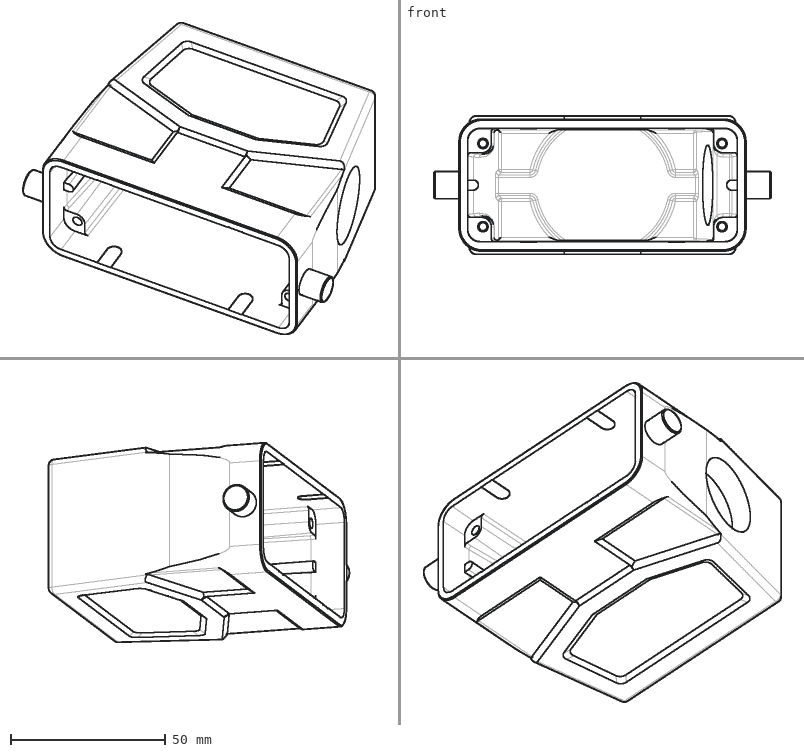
import cadquery as cq
import math

length = 76.0
block_height = 45.0
skirt_height = 42.9
skirt_half_width = 46.6
skirt_straight_end = 10.7
side_crease_y = 31.8
side_crease_half_width = 44.8
back_half_width = 36.05
skirt_corner_radius = 7.5
block_edge_radius = 2.0
mouth_chamfer = 0.4

step_depth = (block_height - skirt_height) / 2
bevel_run = 1.8
block_top = block_height / 2
skirt_top = skirt_height / 2
recess_floor = skirt_top - step_depth

chevron_half_width = 12.4
chevron_y = 31.0
chevron_rise = 0.339

panel_back_y = 68.1
panel_back_half_width = 29.8
panel_side_half_width = 34.0
panel_front_y = 37.0
panel_corner_radius = 2.5

recess_front_y = 12.9
recess_edge_radius = 2.0

pin_diameter = 8.9
pin_span = 109.5
pin_y = 6.0
pin_chamfer = 0.4

mouth_half_width = 43.8
mouth_height = 36.8
mouth_corner_radius = 4.0
cavity_depth = 73.0
cavity_height_draft = 0.5
cavity_crease_half_width = 41.9
floor_left = 33.7
floor_right = 30.3
ledge_y = 29.0
ledge_inner_x = 36.0
ledge_outer_x = 41.9
ledge_lip_radius = 1.2
ledge_base_radius = 0.8
entry_wall_fillet = 0.6
floor_fillet = 1.0

entry_diameter = 26.0
entry_y = 43.3

plateau_height = 5.0
disc_radius = 23.4
rib_half_width = 4.4
plateau_draft = 1.2
plateau_fillet = 0.8
rib_end_fillet = 1.0

boss_start_y = 9.7
boss_inner_x = 36.1
boss_inner_z = 10.5
boss_corner_radius = 3.0
boss_draft = 1.0
boss_hole_x = 38.8
boss_hole_z = 13.5
boss_hole_diameter = 3.3
boss_hole_end_diameter = 2.6
boss_hole_depth = 12.0
boss_root_fillet = 1.0
key_half_width = 1.65
key_tip_x = 40.3

tolerance = 0.01
overlap = 3.0
root_angle_limit = 15.0

groove_x = 24.0
groove_width = 5.0
groove_length = 9.5
groove_depth = 0.1


def polygon_wire(points, z, offset=0.0):
    """Closed wire at height z, grown (or shrunk) by offset with sharp corners."""
    outline = cq.Workplane("XY", origin=(0, 0, z)).polyline(points).close()
    if offset:
        outline = outline.offset2D(offset, "intersection")
    return outline.wires().val()


def rounded_corners(wire, radius, min_x):
    """Round the wire's corners that lie farther than min_x from the centre plane."""
    corners = [vertex for vertex in wire.Vertices() if abs(vertex.X) > min_x]
    return wire.fillet2D(radius, corners)


def both_faces(shape):
    """The shape together with its mirror image in the XY plane."""
    return shape.union(shape.mirror("XY"))


def both_sides(shape):
    """The shape together with its mirror image in the YZ plane."""
    return shape.union(shape.mirror("YZ"))


def mirrored_outline(right_side):
    """Closed outline from its +X points, listed from front to back."""
    left_side = [(-x, y) for x, y in reversed(right_side)]
    return right_side + left_side


def plate(points, height):
    """Plate of the given plan outline, centred on the XY plane."""
    return cq.Workplane("XY").polyline(points).close().extrude(height / 2, both=True)


def bevelled_pocket(points, top_z):
    """Pocket tool: full size at top_z, narrowing by the bevel to its floor."""
    floor_wire = polygon_wire(points, top_z - step_depth, -bevel_run)
    top_wire = polygon_wire(points, top_z)
    return cq.Workplane(cq.Solid.makeLoft([floor_wire, top_wire], True))


def chevron_y_at(x):
    """Y of the block's upper front border at distance x from the centre plane."""
    return chevron_y + max(0.0, x - chevron_half_width) * chevron_rise


def side_slope():
    """Half width lost per mm of Y behind the side crease."""
    return (side_crease_half_width - back_half_width) / (length - side_crease_y)


def envelope():
    """Plan outline of the housing at full height; both sides lean inwards."""
    right_side = [
        (skirt_half_width, 0),
        (skirt_half_width, skirt_straight_end),
        (side_crease_half_width, side_crease_y),
        (back_half_width, length),
    ]
    return plate(mirrored_outline(right_side), block_height)


def skirt(end_y):
    """Rounded front body with two bevelled recesses on each face."""
    body = (
        cq.Workplane("XZ")
        .rect(2 * skirt_half_width, skirt_height)
        .extrude(-end_y)
        .edges("|Y")
        .fillet(skirt_corner_radius)
        .intersect(envelope())
    )
    outside_x = skirt_half_width + 2 * bevel_run
    rear_y = end_y + 2 * bevel_run
    recess_outline = [
        (chevron_half_width, recess_front_y),
        (outside_x, recess_front_y),
        (outside_x, rear_y),
        (chevron_half_width, rear_y),
    ]
    recess = both_faces(bevelled_pocket(recess_outline, skirt_top))
    body = body.cut(both_sides(recess))

    def is_floor_side_edge(edge):
        centre = edge.Center()
        at_floor = math.isclose(abs(centre.z), recess_floor, abs_tol=tolerance)
        return at_floor and abs(centre.x) > skirt_half_width - skirt_corner_radius

    return body.edges("|Y").filter(is_floor_side_edge).fillet(recess_edge_radius)


def raised_block(start_y):
    """Taller rear body whose faces end in a bevelled chevron."""
    front_half_width = side_crease_half_width + side_slope() * side_crease_y
    trapezoid = mirrored_outline([(front_half_width, 0), (back_half_width, length)])
    block = (
        plate(trapezoid, block_height)
        .edges("(>Y) or (not(<Y or |Z))")
        .fillet(block_edge_radius)
    )

    outer_x = skirt_half_width

    def chevron_plan(forward_shift):
        return mirrored_outline(
            [
                (chevron_half_width, chevron_y - forward_shift),
                (outer_x, chevron_y_at(outer_x) - forward_shift),
                (outer_x, length),
            ]
        )

    bottom_wire = polygon_wire(chevron_plan(bevel_run), recess_floor)
    top_wire = polygon_wire(chevron_plan(0.0), block_top)
    cap = cq.Workplane(cq.Solid.makeLoft([bottom_wire, top_wire], True))
    core = cq.Workplane("XY", origin=(0, start_y, 0)).box(
        2 * outer_x, length - start_y, 2 * recess_floor, centered=(True, False, True)
    )
    block = block.intersect(core.union(both_faces(cap)))

    middle_bevel = (
        cq.Workplane("YZ")
        .polyline(
            [(chevron_y - bevel_run, skirt_top), (chevron_y, block_top), (chevron_y, skirt_top)]
        )
        .close()
        .extrude(chevron_half_width, both=True)
    )
    return block.union(both_faces(middle_bevel))


def label_panel():
    """Bevelled pockets that follow the chevron on both block faces."""
    panel_side_y = panel_front_y + (panel_side_half_width - chevron_half_width) * chevron_rise
    outline = mirrored_outline(
        [
            (chevron_half_width, panel_front_y),
            (panel_side_half_width, panel_side_y),
            (panel_back_half_width, panel_back_y),
        ]
    )
    borders = [
        polygon_wire(outline, block_top - step_depth, -bevel_run),
        polygon_wire(outline, block_top),
    ]
    rounded = [rounded_corners(wire, panel_corner_radius, 2 * chevron_half_width) for wire in borders]
    return both_faces(cq.Workplane(cq.Solid.makeLoft(rounded, True)))


def pins():
    """One bar through both side walls, forming the two locking pins."""
    return (
        cq.Workplane("YZ")
        .center(pin_y, 0)
        .circle(pin_diameter / 2)
        .extrude(pin_span / 2, both=True)
        .faces("|X")
        .chamfer(pin_chamfer)
    )


def cavity():
    """Hollow of the housing; its +X wall is thicker behind a ledge."""
    outline = [
        (-mouth_half_width, 0),
        (mouth_half_width, 0),
        (mouth_half_width, skirt_straight_end),
        (ledge_outer_x, ledge_y),
        (ledge_inner_x, ledge_y),
        (floor_right, cavity_depth),
        (-floor_left, cavity_depth),
        (-cavity_crease_half_width, side_crease_y),
        (-mouth_half_width, skirt_straight_end),
    ]
    draft_angle = math.degrees(math.atan2(cavity_height_draft, cavity_depth))
    tunnel = (
        cq.Workplane("XZ")
        .sketch()
        .rect(2 * mouth_half_width, mouth_height)
        .vertices()
        .fillet(mouth_corner_radius)
        .finalize()
        .extrude(-cavity_depth, taper=draft_angle)
    )
    hollow = (
        plate(outline, block_height)
        .edges(cq.selectors.NearestToPointSelector((ledge_inner_x, ledge_y, 0)))
        .fillet(ledge_lip_radius)
        .edges(cq.selectors.NearestToPointSelector((ledge_outer_x, ledge_y, 0)))
        .fillet(ledge_base_radius)
    )
    return hollow.intersect(tunnel)


def floor_plateau():
    """Disc and cross rib standing on the cavity floor, narrowing towards the mouth."""
    draft_angle = math.degrees(math.atan2(plateau_draft, plateau_height))
    inside_disc = cq.selectors.BoxSelector(
        (-disc_radius, -disc_radius, -tolerance), (disc_radius, disc_radius, tolerance)
    )
    base = (
        cq.Sketch()
        .circle(disc_radius)
        .rect(2 * skirt_half_width, 2 * rib_half_width)
        .clean()
        .vertices(inside_disc)
        .fillet(plateau_fillet)
    )
    plateau = (
        cq.Workplane("XZ", origin=(0, cavity_depth, 0))
        .placeSketch(base)
        .extrude(plateau_height, taper=draft_angle)
    )
    return plateau.faces("<Y").edges().fillet(plateau_fillet)


def screw_bosses():
    """Four corner posts running from near the mouth to the back of the cavity."""
    boss_length = cavity_depth - boss_start_y
    draft_angle = math.degrees(math.atan2(boss_draft, boss_length))
    boss = (
        cq.Workplane("XZ", origin=(0, boss_start_y, 0))
        .moveTo(boss_inner_x, skirt_top)
        .lineTo(boss_inner_x, boss_inner_z + boss_corner_radius)
        .radiusArc((boss_inner_x + boss_corner_radius, boss_inner_z), -boss_corner_radius)
        .lineTo(skirt_half_width, boss_inner_z)
        .lineTo(skirt_half_width, skirt_top)
        .close()
        .extrude(-boss_length, taper=-draft_angle)
    )
    hole = (
        cq.Workplane("XZ", origin=(boss_hole_x, boss_start_y, boss_hole_z))
        .circle(boss_hole_diameter / 2)
        .workplane(offset=-boss_hole_depth)
        .circle(boss_hole_end_diameter / 2)
        .loft()
    )
    return both_sides(both_faces(boss.cut(hole)))


def is_boss_root(edge):
    """Whether a cavity edge runs along a boss where the boss meets a wall."""
    if edge.geomType() != "LINE" or abs(edge.tangentAt(0).y) < math.cos(math.radians(root_angle_limit)):
        return False
    centre = edge.Center()
    x, z = abs(centre.x), abs(centre.z)
    along_flat_wall = abs(x - boss_inner_x) < boss_draft and z > boss_inner_z + boss_corner_radius
    past_corner_x = boss_inner_x + boss_corner_radius + boss_draft
    along_end_wall = abs(z - boss_inner_z) < boss_draft and x > past_corner_x
    return along_flat_wall or along_end_wall


def is_rib_end(edge):
    """Whether a cavity edge is where the top of the cross rib meets an end wall."""
    centre = edge.Center()
    at_plateau_top = math.isclose(centre.y, cavity_depth - plateau_height, abs_tol=tolerance)
    on_middle = math.isclose(centre.z, 0, abs_tol=tolerance)
    return at_plateau_top and on_middle and abs(centre.x) > disc_radius


def is_entry_wall_corner(edge):
    """Whether a cavity edge is where the cable entry wall meets a long wall."""
    centre = edge.Center()
    on_entry_wall = floor_right < centre.x < ledge_inner_x and ledge_y < centre.y < cavity_depth
    at_long_wall = abs(centre.z) > mouth_height / 2 - cavity_height_draft
    spans_wall = edge.Length() > (cavity_depth - ledge_y) / 2
    return on_entry_wall and at_long_wall and spans_wall


def guide_keys():
    """Round-nosed keys along the middle of both end walls."""
    nose_x = key_tip_x + key_half_width
    key = (
        cq.Workplane("XZ", origin=(0, boss_start_y, 0))
        .moveTo(skirt_half_width, -key_half_width)
        .lineTo(nose_x, -key_half_width)
        .threePointArc((key_tip_x, 0), (nose_x, key_half_width))
        .lineTo(skirt_half_width, key_half_width)
        .close()
        .extrude(boss_start_y - cavity_depth)
    )
    return both_sides(key)


def mouth_grooves():
    """Round-ended grooves in both long walls, open at the mouth."""
    straight = groove_length - groove_width / 2
    floor_z = mouth_height / 2 + groove_depth
    groove = (
        cq.Workplane("XY", origin=(groove_x, 0, floor_z))
        .moveTo(-groove_width / 2, 0)
        .lineTo(-groove_width / 2, straight)
        .threePointArc((0, groove_length), (groove_width / 2, straight))
        .lineTo(groove_width / 2, 0)
        .close()
        .extrude(-overlap)
    )
    return both_sides(both_faces(groove))


def cable_entry():
    """Bore square to the sloping inner face of the +X wall."""
    slope = (ledge_inner_x - floor_right) / (cavity_depth - ledge_y)
    start = cq.Vector(ledge_inner_x - slope * (entry_y - ledge_y), entry_y, 0)
    axis = cq.Vector(1, slope, 0)
    return cq.Workplane(
        cq.Solid.makeCylinder(entry_diameter / 2, skirt_half_width, start - axis * overlap, axis)
    )


block_start_y = chevron_y_at(side_crease_half_width) - bevel_run
shell = skirt(block_start_y).union(raised_block(block_start_y)).intersect(envelope())
shell = shell.faces("<Y").edges().chamfer(mouth_chamfer)
shell = shell.union(pins()).cut(label_panel())

inside = screw_bosses().union(guide_keys()).union(floor_plateau())
room = cavity().cut(inside)
room = room.faces(">Y").edges().fillet(floor_fillet)
room = room.edges().filter(is_boss_root).fillet(boss_root_fillet)
room = room.edges().filter(is_rib_end).fillet(rib_end_fillet)
room = room.edges().filter(is_entry_wall_corner).fillet(entry_wall_fillet)

result = shell.cut(room).cut(mouth_grooves()).cut(cable_entry())